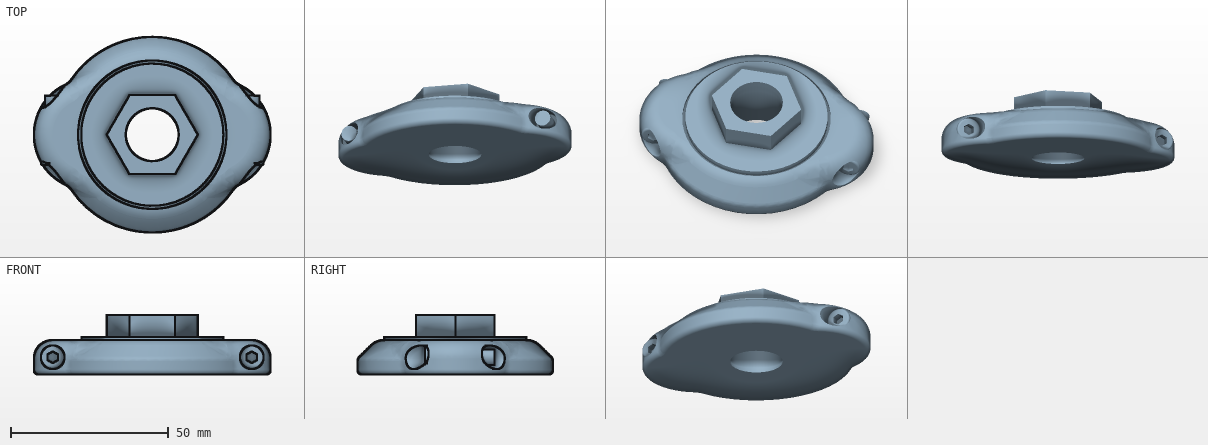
import cadquery as cq
import math

body_height = 11.0
disc_radius = 31.0
disc_chamfer = 6.0
disc_shoulder_radius = 2.0
lobe_radius = 17.5
lobe_reach = 37.5
valley_radius = 5.5
top_edge_radius = 6.0
bottom_edge_radius = 1.5

collar_diameter = 45.0
collar_top = 11.95
recess_diameter = 47.0
recess_depth = 1.0
hexagon_sides = 6
hexagon_flats = 25.0
hexagon_corners = hexagon_flats / math.cos(math.pi / hexagon_sides)
hexagon_height = 7.0
bore_diameter = 16.66
part_height = collar_top + hexagon_height

screw_x = 31.5
screw_z = 5.5
screw_bore_diameter = 7.5
head_face_y = -9.6
head_height = 5.0
head_chamfer = 0.6
shank_diameter = 5.0
shank_end_y = 12.35
shank_bore_floor_y = 5.0
socket_flats = 3.2
socket_depth = 3.0

height_margin = 0.1


def at_height(z):
    """Select the level edges lying at height z."""
    reach = 2 * lobe_reach
    low_corner = (-reach, -reach, z - height_margin)
    high_corner = (reach, reach, z + height_margin)
    return cq.selectors.BoxSelector(low_corner, high_corner, boundingbox=True)


def make_disc():
    cone_foot = body_height - disc_chamfer
    disc = cq.Workplane("XY").circle(disc_radius).extrude(body_height)
    disc = disc.faces(">Z").chamfer(disc_chamfer)
    return disc.edges(at_height(cone_foot)).fillet(disc_shoulder_radius)


def make_lobes():
    """Straight-sided bar with round ends; only its ends stand out from the disc."""
    return cq.Workplane("XY").slot2D(2 * lobe_reach, 2 * lobe_radius).extrude(body_height)


def is_valley(edge):
    """True for the edges where a lobe wall meets the disc: they rise, off both symmetry planes."""
    box = edge.BoundingBox()
    return box.zmax - box.zmin > height_margin and box.ymin * box.ymax > 0 and box.xmin * box.xmax > 0


def make_body():
    body = make_disc().union(make_lobes())
    valleys = [edge for edge in body.edges().vals() if is_valley(edge)]
    body = body.newObject(valleys).fillet(valley_radius)
    body = body.faces(">Z").edges().fillet(top_edge_radius)
    return body.faces("<Z").edges().fillet(bottom_edge_radius)


def along_y(x, diameter, y_start, y_end):
    """Cylinder parallel to Y at screw height."""
    start = cq.Vector(x, y_start, screw_z)
    return cq.Workplane(cq.Solid.makeCylinder(diameter / 2, y_end - y_start, start, cq.Vector(0, 1, 0)))


def cut_screw_bores(body):
    """Sink a bore for each screw head from -Y and one around each shank end from +Y."""
    for x in (-screw_x, screw_x):
        body = body.cut(along_y(x, screw_bore_diameter, -disc_radius, head_face_y + head_height))
        body = body.cut(along_y(x, screw_bore_diameter, shank_bore_floor_y, disc_radius))
    return body


def make_screw(x):
    head = along_y(x, screw_bore_diameter, head_face_y, head_face_y + head_height)
    head = head.faces("<Y").edges().fillet(head_chamfer)
    shank = along_y(x, shank_diameter, head_face_y + head_height, shank_end_y)
    face = cq.Plane(origin=(x, head_face_y, screw_z), xDir=(1, 0, 0), normal=(0, -1, 0))
    socket = cq.Workplane(face).polygon(hexagon_sides, socket_flats, circumscribed=True)
    socket = socket.extrude(-socket_depth)
    return head.union(shank).cut(socket)


def make_bushing():
    recess_floor = body_height - recess_depth
    collar = cq.Workplane("XY").workplane(offset=recess_floor)
    collar = collar.circle(collar_diameter / 2).extrude(collar_top - recess_floor)
    hexagon = cq.Workplane("XY").workplane(offset=collar_top)
    hexagon = hexagon.polygon(hexagon_sides, hexagon_corners).extrude(hexagon_height)
    return collar.union(hexagon)


def make_part():
    body = cut_screw_bores(make_body())
    recess = cq.Workplane("XY").workplane(offset=body_height - recess_depth)
    body = body.cut(recess.circle(recess_diameter / 2).extrude(recess_depth))
    body = body.union(make_bushing())
    for x in (-screw_x, screw_x):
        body = body.union(make_screw(x))
    bore = cq.Workplane("XY").circle(bore_diameter / 2).extrude(part_height)
    return body.cut(bore)


result = make_part()